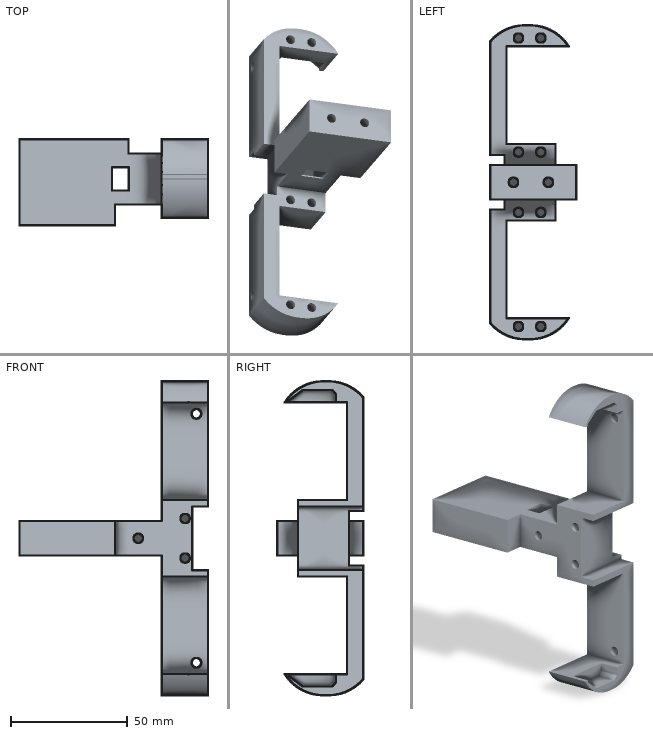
import cadquery as cq
import math

LENGTH = 81.0
HEIGHT = 135.0
DEPTH = 37.0
ARM_WIDTH = 20.0
ARM_LEFT = LENGTH - ARM_WIDTH

BLOCK_HEIGHT = 15.0
BLOCK_FRONT_LENGTH = 41.0
BLOCK_BACK_LENGTH = 46.8
HUB_FRONT = -28.1
HUB_BACK = -6.1
HUB_HEIGHT = 33.0
RECESS_LEFT = 74.2
RECESS_HEIGHT = 27.3
WINDOW_LENGTH = 7.0
WINDOW_BACK = -12.2
WINDOW_WIDTH = 9.9
CAVITY_RIGHT = 59.4
CAVITY_SKIN = 0.5

ARM_THICKNESS = 7.0
ARM_START = 11.6
TIP_INNER = 58.3
TIP_REACH = 33.8
CROWN_CENTER = -16.0
CROWN_FLAT = 2.0

POCKET_LEFT = 72.6
POCKET_BACK = -11.7
POCKET_FRONT = -31.9
POCKET_DEPTH = 5.4
POCKET_WALL_DEPTH = 3.5
POCKET_SLOPE_WIDTH = 1.6
POCKET_FLOOR_FRONT = -25.9
POCKET_FRONT_DEPTH = 1.0

HOLE_DIAMETER = 4.0
HOLE_DEPTH = 10.8
SIDE_HOLE_YS = (-12.2, -21.7)
TIP_HOLE_Z = 62.0
HUB_HOLE_Z = 13.0
BLOCK_HOLE_YS = (-10.0, -25.0)
NECK_HOLE_X = 51.0
CAVITY_HOLE_X = 55.4
CAVITY_HOLE_DEPTH = 3.4
HUB_FRONT_HOLE_X = 71.1
HUB_FRONT_HOLE_Z = 8.5
ARM_HOLE_X = 76.0
ARM_HOLE_Z = 53.5


def box(x_range, y_range, z_range):
    """Box spanning the given (low, high) ranges."""
    low, high = zip(x_range, y_range, z_range)
    size = [b - a for a, b in zip(low, high)]
    return cq.Workplane("XY").box(*size, centered=False).translate(low)


def centered(height):
    """Range of the given height about zero."""
    return (-height / 2, height / 2)


def hole_along_x(x, y, z):
    """Blind hole cutter running toward +X."""
    cutter = cq.Solid.makeCylinder(HOLE_DIAMETER / 2, HOLE_DEPTH, cq.Vector(x, y, z), cq.Vector(1, 0, 0))
    return cq.Workplane(cutter)


def hole_along_y(x, y, z, depth):
    """Hole cutter running toward +Y."""
    cutter = cq.Solid.makeCylinder(HOLE_DIAMETER / 2, depth, cq.Vector(x, y, z), cq.Vector(0, 1, 0))
    return cq.Workplane(cutter)


def make_handle():
    """Handle block with a longer back half, and the neck running into the hub."""
    block_z = centered(BLOCK_HEIGHT)
    front = box((0, BLOCK_FRONT_LENGTH), (-DEPTH, HUB_BACK), block_z)
    back = box((0, BLOCK_BACK_LENGTH), (HUB_FRONT, 0), block_z)
    neck = box((0, LENGTH), (HUB_FRONT, HUB_BACK), block_z)
    return front.union(back).union(neck)


def make_arm():
    """Upper arm: an upright with a crowned tip, two arcs joined by a narrow flat."""
    half_flat = CROWN_FLAT / 2
    top = HEIGHT / 2
    flat_back = CROWN_CENTER + half_flat
    flat_front = CROWN_CENTER - half_flat
    drop = top - TIP_INNER
    run = flat_front + TIP_REACH
    radius = (run**2 + drop**2) / (2 * drop)
    arc_z = top - radius

    def arc_point(center_y, y):
        return (y, arc_z + math.sqrt(radius**2 - (y - center_y) ** 2))

    outline = (
        cq.Workplane("YZ", origin=(ARM_LEFT, 0, 0))
        .moveTo(0, ARM_START)
        .lineTo(*arc_point(flat_back, 0))
        .threePointArc(arc_point(flat_back, flat_back / 2), (flat_back, top))
        .lineTo(flat_front, top)
        .threePointArc(arc_point(flat_front, flat_front - run / 2), (-TIP_REACH, TIP_INNER))
        .lineTo(-ARM_THICKNESS, TIP_INNER)
        .lineTo(-ARM_THICKNESS, ARM_START)
        .close()
    )
    return outline.extrude(ARM_WIDTH)


def make_tip_pocket():
    """Pocket cutter with a flat floor and sloped ends."""
    return (
        cq.Workplane("YZ", origin=(POCKET_LEFT, 0, 0))
        .moveTo(POCKET_BACK, TIP_INNER)
        .lineTo(POCKET_BACK, TIP_INNER + POCKET_WALL_DEPTH)
        .lineTo(POCKET_BACK - POCKET_SLOPE_WIDTH, TIP_INNER + POCKET_DEPTH)
        .lineTo(POCKET_FLOOR_FRONT, TIP_INNER + POCKET_DEPTH)
        .lineTo(POCKET_FRONT, TIP_INNER + POCKET_FRONT_DEPTH)
        .lineTo(POCKET_FRONT, TIP_INNER)
        .close()
        .extrude(LENGTH - POCKET_LEFT)
    )


def make_upper_arm():
    """Pocketed arm with its screw holes."""
    arm = make_arm().cut(make_tip_pocket())
    for y in SIDE_HOLE_YS:
        arm = arm.cut(hole_along_x(ARM_LEFT, y, TIP_HOLE_Z))
    return arm.cut(hole_along_y(ARM_HOLE_X, -ARM_THICKNESS, ARM_HOLE_Z, ARM_THICKNESS))


upper_arm = make_upper_arm()
hub = box((ARM_LEFT, LENGTH), (HUB_FRONT, HUB_BACK), centered(HUB_HEIGHT))
result = make_handle().union(hub).union(upper_arm).union(upper_arm.mirror("XY"))

result = result.cut(box((RECESS_LEFT, LENGTH), (-DEPTH, 0), centered(RECESS_HEIGHT)))

window_x = (BLOCK_BACK_LENGTH - WINDOW_LENGTH, BLOCK_BACK_LENGTH)
window_y = (WINDOW_BACK - WINDOW_WIDTH, WINDOW_BACK)
result = result.cut(box(window_x, window_y, centered(BLOCK_HEIGHT)))

cavity_x = (window_x[0], CAVITY_RIGHT)
result = result.cut(box(cavity_x, window_y, centered(BLOCK_HEIGHT - 2 * CAVITY_SKIN)))
result = result.cut(hole_along_y(CAVITY_HOLE_X, WINDOW_BACK, 0, CAVITY_HOLE_DEPTH))

for y in BLOCK_HOLE_YS:
    result = result.cut(hole_along_x(0, y, 0))
result = result.cut(hole_along_y(NECK_HOLE_X, HUB_FRONT, 0, window_y[0] - HUB_FRONT))
for side in (-1, 1):
    for y in SIDE_HOLE_YS:
        result = result.cut(hole_along_x(ARM_LEFT, y, side * HUB_HOLE_Z))
    result = result.cut(hole_along_y(HUB_FRONT_HOLE_X, HUB_FRONT, side * HUB_FRONT_HOLE_Z, HOLE_DEPTH))